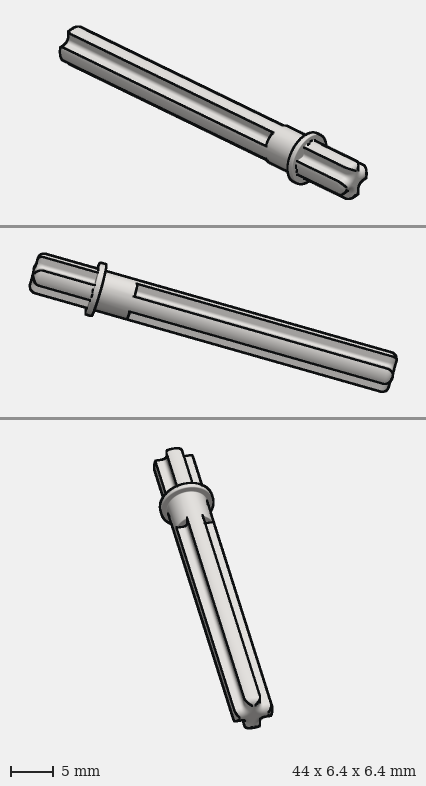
import cadquery as cq

length = 44.0
rod_diameter = 4.85
rod_radius = rod_diameter / 2
rod_end_rounding = 0.85

arm_width = 1.9
arm_corner_radius = 0.45
arm_rounding = arm_width / 2
groove_axis = arm_width / 2 + arm_corner_radius

collar_diameter = 6.4
collar_radius = collar_diameter / 2
collar_start = 36.0
collar_thickness = 0.8
collar_end = collar_start + collar_thickness
collar_rim_rounding = 0.15
collar_foot_fillet = 0.1

front_groove_end = 31.9
groove_end_rounding = 0.15


def disc(radius, start, end):
    """Solid cylinder along X from start to end."""
    return cq.Workplane("YZ", origin=(start, 0, 0)).circle(radius).extrude(end - start)


def rounded_bar(plane):
    """Flat bar through the axis whose two ends are full half-rounds."""
    return (
        cq.Workplane(plane)
        .center(length / 2, 0)
        .slot2D(length, arm_width)
        .extrude(collar_radius, both=True)
    )


def corner_cutter():
    """Round bar in one inside corner, flared at both ends to meet the rounded bars tangentially."""
    flare_radius = arm_corner_radius + arm_rounding
    return (
        cq.Workplane("XY")
        .lineTo(0, flare_radius)
        .radiusArc((arm_rounding, arm_corner_radius), -arm_rounding)
        .lineTo(length - arm_rounding, arm_corner_radius)
        .radiusArc((length, flare_radius), -arm_rounding)
        .lineTo(length, 0)
        .close()
        .revolve(360, (0, 0, 0), (1, 0, 0))
        .translate((0, groove_axis, groove_axis))
    )


def cross_axle():
    """Full-length axle of cross section, with all end edges rounded over."""
    core = cq.Workplane("YZ").rect(2 * groove_axis, 2 * groove_axis).extrude(length)
    cutter = corner_cutter()
    for quarter in range(4):
        core = core.cut(cutter.rotate((0, 0, 0), (1, 0, 0), 90 * quarter))
    cross = core.union(rounded_bar("XY")).union(rounded_bar("XZ"))
    rod = disc(rod_radius, 0, length).edges().fillet(rod_end_rounding)
    return cross.intersect(rod)


def plain_shank():
    """Round length in front of the collar, softened where the front grooves run out."""
    shank = disc(rod_radius, front_groove_end, collar_start)
    return shank.faces("<X").edges().fillet(groove_end_rounding)


def collar():
    """Stop collar with softened rims."""
    return disc(collar_radius, collar_start, collar_end).edges().fillet(collar_rim_rounding)


def blend_collar(body):
    """Fillet the corners where the shank and the rear arms meet the collar."""
    box_half_depth = collar_rim_rounding / 2
    box_reach = rod_radius + box_half_depth
    for face_x in (collar_start, collar_end):
        foot = cq.selectors.BoxSelector(
            (face_x - box_half_depth, -box_reach, -box_reach),
            (face_x + box_half_depth, box_reach, box_reach),
            boundingbox=True,
        )
        body = body.edges(foot).fillet(collar_foot_fillet)
    return body


result = blend_collar(cross_axle().union(plain_shank()).union(collar()))